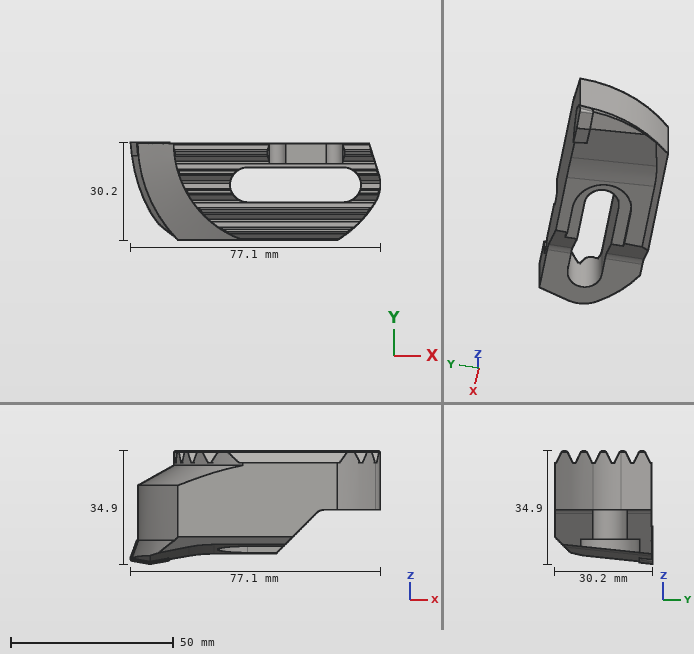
import cadquery as cq
import math


HEIGHT = 34.9
FRONT_Y = -30.2
RIGHT_X = 31.65
JAW_BACK_Y = -0.4
MARGIN = 7.7

CROWN_RADIUS = 32.0
WALL_RADIUS = 43.05
CROWN_Z = 30.4
SHOULDER_Z = 24.25
FLARE_Z = 7.4
FLARE_ANGLE = 20.0

HEEL_RADIUS = 35.35
TIP_RADIUS = 10.55
BACK_FLANK_ANGLE = 17.5

CLEARANCE_ANGLE = 6.0
VEE_ANGLE = 10.0
VEE_X = -39.3
VEE_Z = 0.4
SOLE_Z = 3.15
SOLE_BLEND_RADIUS = 43.9
STEP_Z = 16.7
STEP_CORNER_X = 12.9
STEP_RADIUS = 3.55
CHAMFER_Z = 8.4

TOOTH_COUNT = 5
TOOTH_HEIGHT = 3.7
ROOT_FLAT = 0.8
CREST_FLAT = 0.85
CREST_BEVEL_WIDTH = 0.55
CREST_BEVEL_HEIGHT = 0.4
TOOTH_END_BEVEL = 0.3

SLOT_LEFT_X = -9.3
SLOT_RIGHT_X = 20.3
SLOT_Y = -13.2
SLOT_RADIUS = 5.3
COUNTERBORE_RADIUS = 9.1
COUNTERBORE_Z = 7.7

NOTCH_LEFT_X = -2.55
NOTCH_RIGHT_X = 20.0
NOTCH_FRONT_Y = -6.6
NOTCH_FLOOR_Z = 24.65
NOTCH_GROOVE_RADIUS = 2.55
NOTCH_FLARE = 0.6

INSERT_EDGE = 6.5
INSERT_CORNER_ANGLE = 80.0
INSERT_OBTUSE_ANGLE = 160.0
INSERT_SIDES = 6
INSERT_CORNER_RADIUS = 0.85
INSERT_THICKNESS = 4.15

ROOT_Z = HEIGHT - TOOTH_HEIGHT
TOOTH_PITCH = (JAW_BACK_Y - FRONT_Y) / TOOTH_COUNT
OUTER_X = WALL_RADIUS + MARGIN


def polar(radius, degrees):
    angle = math.radians(degrees)
    return radius * math.cos(angle), radius * math.sin(angle)


def moved(point, step):
    return point[0] + step[0], point[1] + step[1]


def prism_along_y(points, start_y, end_y):
    """Straight prism of an XZ outline between two Y positions."""
    outline = cq.Workplane("XZ", origin=(0, start_y, 0)).polyline(points).close()
    return outline.extrude(start_y - end_y)


def blank():
    """Full-height block with the shaped right end, its top edge bevelled."""
    centre_offset = HEEL_RADIUS - TIP_RADIUS
    tip_angle = -math.degrees(math.acos((RIGHT_X - TIP_RADIUS) / centre_offset))
    tip_centre = polar(centre_offset, tip_angle)
    tip_start = polar(HEEL_RADIUS, tip_angle)
    tip_end = moved(tip_centre, polar(TIP_RADIUS, BACK_FLANK_ANGLE))
    flank_run = (JAW_BACK_Y - tip_end[1]) * math.tan(math.radians(BACK_FLANK_ANGLE))

    heel_angle = math.degrees(math.asin(FRONT_Y / HEEL_RADIUS))
    return (
        cq.Workplane("XY")
        .moveTo(-OUTER_X, FRONT_Y)
        .lineTo(*polar(HEEL_RADIUS, heel_angle))
        .threePointArc(polar(HEEL_RADIUS, (heel_angle + tip_angle) / 2), tip_start)
        .threePointArc((RIGHT_X, tip_centre[1]), tip_end)
        .lineTo(tip_end[0] - flank_run, JAW_BACK_Y)
        .lineTo(-OUTER_X, JAW_BACK_Y)
        .close()
        .extrude(HEIGHT)
        .faces(">Z")
        .edges()
        .chamfer(CREST_BEVEL_HEIGHT, TOOTH_END_BEVEL)
    )


def nose_waste():
    """Half ring outside the crown, cone, wall and flare of the left end."""
    flare_radius = WALL_RADIUS + (FLARE_Z + MARGIN) * math.tan(math.radians(FLARE_ANGLE))
    ring_radius = OUTER_X + 2 * MARGIN
    points = [
        (CROWN_RADIUS - TOOTH_END_BEVEL, HEIGHT + MARGIN),
        (CROWN_RADIUS - TOOTH_END_BEVEL, HEIGHT),
        (CROWN_RADIUS, HEIGHT - CREST_BEVEL_HEIGHT),
        (CROWN_RADIUS, CROWN_Z),
        (WALL_RADIUS, SHOULDER_Z),
        (WALL_RADIUS, FLARE_Z),
        (flare_radius, -MARGIN),
        (ring_radius, -MARGIN),
        (ring_radius, HEIGHT + MARGIN),
    ]
    half_ring = cq.Workplane("XZ").polyline(points).close().revolve(180, (0, 0, 0), (0, 1, 0))
    return half_ring.rotate((0, 0, 0), (0, 0, 1), 90)


def sole_waste():
    """Everything below the vee and the flat sole, slanted by the clearance angle."""
    slope = math.tan(math.radians(VEE_ANGLE))
    bend_x = VEE_X + (SOLE_Z - VEE_Z) / slope
    tangent = SOLE_BLEND_RADIUS * math.tan(math.radians(VEE_ANGLE / 2))
    blend_start = moved((bend_x, SOLE_Z), polar(-tangent, VEE_ANGLE))
    blend_end = (bend_x + tangent, SOLE_Z)
    blend_middle = moved(
        (blend_end[0], SOLE_Z - SOLE_BLEND_RADIUS), polar(SOLE_BLEND_RADIUS, 90 + VEE_ANGLE / 2)
    )
    outline = (
        cq.Workplane("XZ")
        .moveTo(-OUTER_X, VEE_Z + (VEE_X + OUTER_X) * slope)
        .lineTo(VEE_X, VEE_Z)
        .lineTo(*blend_start)
        .threePointArc(blend_middle, blend_end)
        .lineTo(OUTER_X, SOLE_Z)
        .lineTo(OUTER_X, -2 * MARGIN)
        .lineTo(-OUTER_X, -2 * MARGIN)
        .close()
        .wire()
        .val()
    )
    length = MARGIN - FRONT_Y
    rise = length * math.tan(math.radians(CLEARANCE_ANGLE))
    return cq.Workplane(cq.Solid.extrudeLinear(outline, [], cq.Vector(0, -length, rise)))


def step_waste():
    """Space under the right end, with a 45 degree ramp blended into the step."""
    foot_z = -MARGIN
    foot_x = STEP_CORNER_X - (STEP_Z - foot_z)
    points = [(foot_x, foot_z), (STEP_CORNER_X, STEP_Z), (OUTER_X, STEP_Z), (OUTER_X, foot_z)]
    waste = prism_along_y(points, MARGIN, FRONT_Y - MARGIN)
    blend_edge = cq.selectors.NearestToPointSelector((STEP_CORNER_X, FRONT_Y / 2, STEP_Z))
    return waste.edges("|Y").edges(blend_edge).fillet(STEP_RADIUS)


def chamfer_waste():
    """Triangular bar along the lower front edge."""
    points = [(FRONT_Y, CHAMFER_Z), (FRONT_Y + CHAMFER_Z, 0), (FRONT_Y, 0)]
    return cq.Workplane("YZ", origin=(-OUTER_X, 0, 0)).polyline(points).close().extrude(2 * OUTER_X)


def tooth_gap_waste():
    """The gaps between the teeth, running along X; the outer two are cut in half by the sides."""
    crest_y = TOOTH_PITCH / 2 - CREST_FLAT / 2
    bevel_y = crest_y - CREST_BEVEL_WIDTH
    half_gap = [
        (ROOT_FLAT / 2, ROOT_Z),
        (bevel_y, HEIGHT - CREST_BEVEL_HEIGHT),
        (crest_y, HEIGHT),
    ]
    gap = [(-y, z) for y, z in reversed(half_gap)] + half_gap
    waste = cq.Workplane("YZ", origin=(-OUTER_X, 0, 0))
    for i in range(TOOTH_COUNT + 1):
        centre = (FRONT_Y + i * TOOTH_PITCH, 0)
        waste = waste.polyline([moved(centre, point) for point in gap]).close()
    return waste.extrude(2 * OUTER_X)


def obround(radius, bottom_z, top_z):
    """Upright slot-shaped prism around the two slot centres."""
    spacing = SLOT_RIGHT_X - SLOT_LEFT_X
    middle_x = (SLOT_LEFT_X + SLOT_RIGHT_X) / 2
    outline = cq.Workplane("XY", origin=(middle_x, SLOT_Y, bottom_z))
    return outline.slot2D(spacing + 2 * radius, 2 * radius).extrude(top_z - bottom_z)


def notch_waste():
    """Opening in the back edge, with a round groove along each end of its floor."""
    points = [
        (NOTCH_LEFT_X, NOTCH_FLOOR_Z),
        (NOTCH_LEFT_X, ROOT_Z),
        (NOTCH_LEFT_X - NOTCH_FLARE, HEIGHT),
        (NOTCH_RIGHT_X + NOTCH_FLARE, HEIGHT),
        (NOTCH_RIGHT_X, ROOT_Z),
        (NOTCH_RIGHT_X, NOTCH_FLOOR_Z),
    ]
    grooves = [
        (NOTCH_LEFT_X + NOTCH_GROOVE_RADIUS, NOTCH_FLOOR_Z),
        (NOTCH_RIGHT_X - NOTCH_GROOVE_RADIUS, NOTCH_FLOOR_Z),
    ]
    waste = prism_along_y(points, 0, NOTCH_FRONT_Y)
    return waste.union(
        cq.Workplane("XZ").pushPoints(grooves).circle(NOTCH_GROOVE_RADIUS).extrude(-NOTCH_FRONT_Y)
    )


def make_insert():
    """Trigon insert: sharp and obtuse corners alternate, sides taper to the front."""
    points = [(VEE_X, 0)]
    direction = VEE_ANGLE
    for i in range(INSERT_SIDES - 1):
        points.append(moved(points[-1], polar(INSERT_EDGE, direction)))
        corner_angle = INSERT_CORNER_ANGLE if i % 2 == 0 else INSERT_OBTUSE_ANGLE
        direction += 180 - corner_angle
    outline = cq.Wire.makePolygon([cq.Vector(x, 0, z) for x, z in points], close=True)
    sharp_corners = points[1::2]
    corners = [
        vertex for vertex in outline.Vertices()
        if any(math.dist((vertex.X, vertex.Z), point) < INSERT_CORNER_RADIUS for point in sharp_corners)
    ]
    outline = outline.fillet2D(INSERT_CORNER_RADIUS, corners)
    return (
        cq.Workplane("XZ").add(outline).toPending().extrude(INSERT_THICKNESS, taper=CLEARANCE_ANGLE)
    )


def make_jaw(insert):
    """Jaw body with a pocket that fits the insert."""
    return (
        blank()
        .cut(nose_waste())
        .cut(sole_waste())
        .cut(step_waste())
        .cut(chamfer_waste())
        .cut(tooth_gap_waste())
        .cut(obround(SLOT_RADIUS, 0, HEIGHT))
        .cut(obround(COUNTERBORE_RADIUS, 0, COUNTERBORE_Z))
        .cut(notch_waste())
        .cut(insert)
        .solids()
    )


insert = make_insert()
jaw = make_jaw(insert)

result = cq.Compound.makeCompound([jaw.val(), insert.val()])